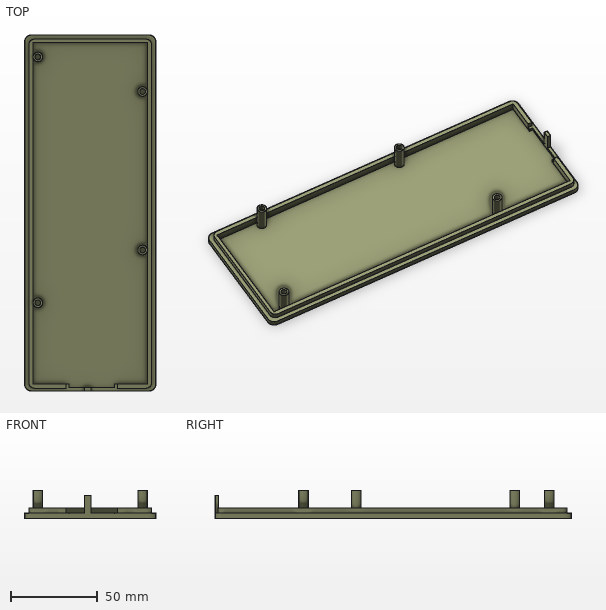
import cadquery as cq

length = 204.8
width = 75.5
base_height = 3.0
base_corner_radius = 4.0
floor_thickness = 1.33

rim_height = 3.0
rim_inset_side = 2.5
rim_inset_back = 2.5
rim_inset_front = 1.6
rim_corner_radius = 3.3

rim_wall_side = 2.5
rim_wall_back = 2.0
rim_wall_front = 2.5

opening_x = 0.8
opening_width = 29.5
recess_width = 26.2
recess_lip = 2.0

tab_x = -1.5
tab_width = 3.9
tab_thickness = recess_lip
tab_top = 13.3

post_top = 16.2
post_diameter = 5.5
post_hole_diameter = 3.3
post_x = 30.0
post_centers = [
    (-post_x, 89.7),
    (post_x, 69.8),
    (post_x, -21.3),
    (-post_x, -51.5),
]

rim_top = base_height + rim_height
front = -length / 2
back = length / 2
rim_front = front + rim_inset_front
rim_back = back - rim_inset_back
rim_width = width - 2 * rim_inset_side
pocket_front = rim_front + rim_wall_front
pocket_back = rim_back - rim_wall_back
pocket_width = rim_width - 2 * rim_wall_side


def block(x_center, x_size, y_front, y_back, z_bottom, z_top):
    """Box of the given X size and centre, between the given Y and Z limits."""
    return (
        cq.Workplane("XY", origin=(x_center, (y_front + y_back) / 2, z_bottom))
        .rect(x_size, y_back - y_front)
        .extrude(z_top - z_bottom)
    )


def posts(diameter):
    """Cylinders standing on the floor at every post position."""
    return (
        cq.Workplane("XY", origin=(0, 0, floor_thickness))
        .pushPoints(post_centers)
        .circle(diameter / 2)
        .extrude(post_top - floor_thickness)
    )


base = block(0, width, front, back, 0, base_height).edges("|Z").fillet(base_corner_radius)
rim = (
    block(0, rim_width, rim_front, rim_back, base_height, rim_top)
    .edges("|Z")
    .fillet(rim_corner_radius)
)
body = base.union(rim)

body = body.cut(block(0, pocket_width, pocket_front, pocket_back, floor_thickness, rim_top))

body = body.cut(block(opening_x, opening_width, front, pocket_front, base_height, rim_top))
body = body.cut(
    block(opening_x, recess_width, front + recess_lip, pocket_front, floor_thickness, base_height)
)

body = body.union(block(tab_x, tab_width, front, front + tab_thickness, 0, tab_top))

result = body.union(posts(post_diameter)).cut(posts(post_hole_diameter))